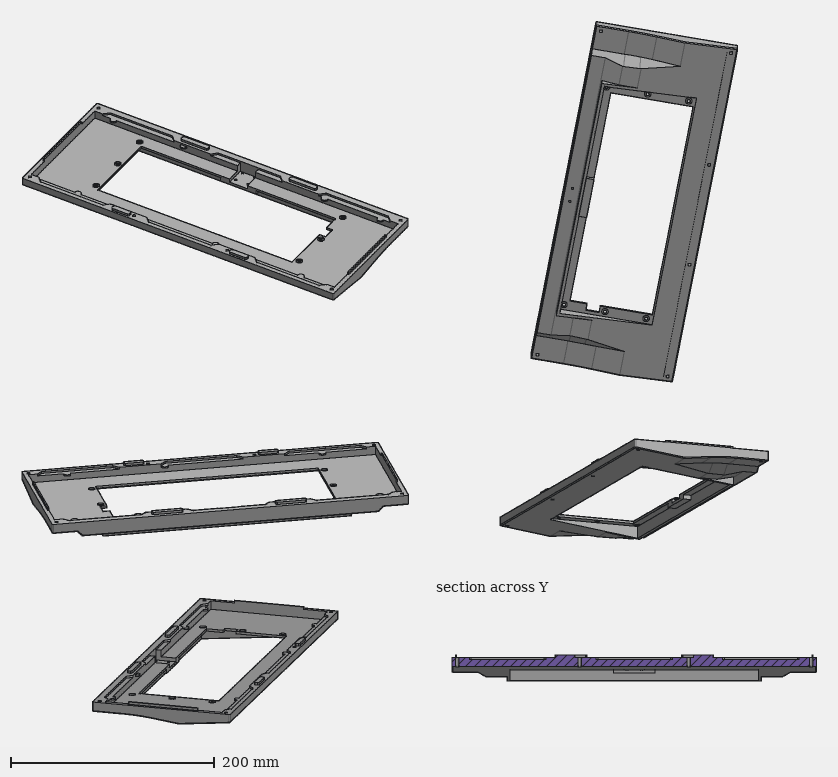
import cadquery as cq
import math


length = 358.16
width = 141.56
total_height = 25.69
half_length = length / 2
half_width = width / 2
corner_radius = 1.0
bottom_chamfer = 1.0
ridge_height = 2.4
foot_depth = total_height - ridge_height
typing_angle = math.radians(6.6)
foot_rear_y = 55.0
foot_half_length = 124.7
rear_shelf_y = 56.0
rear_shelf_depth = 15.0
belly_rear_y = 38.0
belly_depth = 19.2


def slope_depth(y):
    """Depth of the inclined underside below the rim at a given Y."""
    return foot_depth - (foot_rear_y - y) * math.tan(typing_angle)


front_depth = slope_depth(-half_width)
belly_front_y = foot_rear_y - (foot_depth - belly_depth) / math.tan(typing_angle)

edge_depth = 9.9
relief_front_y = -18.0
relief_level_y = 24.0
relief_bend_radius = 240.0
flank_bends = ((37.0, 2.5), (29.0, 5.0))
flank_bottom_x = 144.6
cut_margin = 5.0

tray_half_length = 174.3
tray_rear_y = 58.7
tray_front_y = -61.0
tray_depth = 8.7

window_half_length = 111.7
window_rear_y = 43.7
window_front_y = -38.4
notch_end_x = 118.5
notch_rear_y = 26.6
notch_front_y = 13.5
floor_thickness = 2.4
recess_half_length = 121.8
recess_rear_y = 52.0
recess_front_y = -40.0

rim_relief_depth = 2.0
rim_relief_width = 5.4
rim_relief_half_span = 41.2
rim_relief_centers = (-124.2, 0, 124.2)
wall_boss_diameter = 7.0
wall_boss_thickness = 1.5
rear_boss_xs = (-152.8, -72.0, 90.1, 154.0)
front_boss_xs = (-120.8, 37.5, 135.5)
ridge_width = 5.0
ridge_end_chamfer = 1.2
ridge_inner_x = 46.6
ridge_outer_x = 77.6
front_ridge_inner_x = 57.5
rear_ridge_y = 64.1
front_ridge_y = -66.3
side_ridge_width = 1.4
side_ridge_length = 71.0
side_ridge_center_y = -1.0

rim_hole_diameter = 3.0
rim_hole_x = 173.6
rim_hole_rear_y = 64.8
rim_hole_front_y = -65.0
inner_rim_hole_x = 53.6
plate_screw_x = 116.8
plate_screw_ys = (48.9, 7.9, -33.1)
plate_screw_diameter = 3.0
plate_screw_head_diameter = 6.5
plate_screw_head_depth = 1.5

board_half_length = 10.2
board_depth = 12.5
board_hole_diameter = 2.2
board_hole_depth = 1.5
board_hole_x = 7.0
board_hole_ys = (63.0, 50.2)
board_pad_half_length = 20.4
board_pad_depth = 15.4


def box(x0, x1, y0, y1, z0, z1):
    """Axis-aligned box between two corners."""
    return cq.Workplane("XY").box(x1 - x0, y1 - y0, z1 - z0, centered=False).translate((x0, y0, z0))


def side_prism(points, x0, x1):
    """Prism along X from an outline of (Y, Z) points."""
    return cq.Workplane("YZ").polyline(points).close().extrude(x1 - x0).translate((x0, 0, 0))


def cylinders(points, diameter, top, bottom):
    """Vertical cylinders at the given (X, Y) points."""
    return cq.Workplane("XY", origin=(0, 0, bottom)).pushPoints(points).circle(diameter / 2).extrude(top - bottom)


def mirrored(points):
    """Points together with their mirror images across X = 0."""
    return [(side * x, y) for x, y in points for side in (-1, 1)]


def make_body():
    outline = [
        (-half_width, 0),
        (-half_width, -front_depth),
        (belly_front_y, -belly_depth),
        (belly_rear_y, -belly_depth),
        (rear_shelf_y, -rear_shelf_depth),
        (half_width, -rear_shelf_depth),
        (half_width, 0),
    ]
    return side_prism(outline, -half_length, half_length)


def make_end_relief(side):
    """Relief below one end, bounded inwards by a bent 45 degree flank."""
    ceiling = [
        (relief_front_y, -slope_depth(relief_front_y)),
        (relief_level_y, -edge_depth),
        (half_width + cut_margin, -edge_depth),
        (half_width + cut_margin, -total_height),
        (relief_front_y, -total_height),
    ]
    relief = side_prism(ceiling, -half_length - cut_margin, -foot_half_length)
    bend_point = (-half_length, relief_level_y, -edge_depth)
    relief = relief.edges("|X").edges(cq.selectors.NearestToPointSelector(bend_point)).fillet(relief_bend_radius)

    outer_x = -half_length - cut_margin
    top_depth = edge_depth - cut_margin
    outline = [
        (-flank_bottom_x - belly_depth + top_depth, -top_depth),
        (-flank_bottom_x - belly_depth + total_height, -total_height),
        (outer_x - width, -total_height),
        (outer_x - width, -top_depth),
    ]
    rear_flank = cq.Workplane("XZ").polyline(outline).close().extrude(width, both=True)
    flank = rear_flank
    for bend_y, turn in flank_bends:
        pivot = (-flank_bottom_x, bend_y)
        flank = flank.intersect(rear_flank.rotate((*pivot, 0), (*pivot, 1), -turn))
    cutter = relief.intersect(flank)
    return cutter if side < 0 else cutter.mirror("YZ")


def soften_outer_edges(body):
    """Chamfer the lower outer edges, then round the vertical corners."""
    below_rim = cq.selectors.BoxSelector(
        (-length, -width, -total_height), (length, width, -bottom_chamfer)
    )
    lower_edges = body.faces("<X or >X or <Y or >Y").edges("not |Z").edges(below_rim)
    body = body.newObject(lower_edges.vals()).chamfer(bottom_chamfer)
    return body.faces("<Y or >Y").edges("|Z").fillet(corner_radius)


def make_foot():
    front_y = window_front_y
    outline = [
        (front_y, -slope_depth(front_y)),
        (foot_rear_y, -foot_depth),
        (foot_rear_y, -edge_depth),
        (front_y, -edge_depth),
    ]
    return side_prism(outline, -foot_half_length, foot_half_length)


def make_tray():
    """Tray cavity with the shallow trapezoidal reliefs along its long walls."""
    tray = box(-tray_half_length, tray_half_length, tray_front_y, tray_rear_y, -tray_depth, 0)
    short_half_span = rim_relief_half_span - rim_relief_width
    for edge_y, outward in ((tray_rear_y, 1), (tray_front_y, -1)):
        outer_y = edge_y + outward * rim_relief_width
        for center in rim_relief_centers:
            outline = [
                (center - rim_relief_half_span, edge_y),
                (center - short_half_span, outer_y),
                (center + short_half_span, outer_y),
                (center + rim_relief_half_span, edge_y),
            ]
            tray = tray.union(cq.Workplane("XY").polyline(outline).close().extrude(-rim_relief_depth))
    return tray


def make_wall_bosses():
    """Thin round tabs that stick out of the long tray walls."""
    points = [(x, tray_rear_y) for x in rear_boss_xs] + [(x, tray_front_y) for x in front_boss_xs]
    return cylinders(points, wall_boss_diameter, -rim_relief_depth, -rim_relief_depth - wall_boss_thickness)


def make_ridges():
    """Locating ridges on top of the rim."""
    ridges = cq.Workplane("XY")
    for inner_x, y in ((ridge_inner_x, rear_ridge_y), (front_ridge_inner_x, front_ridge_y)):
        for side in (-1, 1):
            ridges = ridges.union(
                cq.Workplane("XY")
                .center(side * (inner_x + ridge_outer_x) / 2, y)
                .rect(ridge_outer_x - inner_x, ridge_width)
                .extrude(ridge_height)
                .edges("|Z")
                .chamfer(ridge_end_chamfer)
            )
    for side in (-1, 1):
        ridges = ridges.union(
            cq.Workplane("XY")
            .center(side * (tray_half_length + side_ridge_width / 2), side_ridge_center_y)
            .rect(side_ridge_width, side_ridge_length)
            .extrude(ridge_height)
        )
    return ridges


def make_window():
    window = box(-window_half_length, window_half_length, window_front_y, window_rear_y, -total_height, 0)
    notch = box(0, notch_end_x, notch_front_y, notch_rear_y, -total_height, 0)
    return window.union(notch)


def make_plate_recess():
    """Recess under the floor, leaving a thicker pad below the connector board."""
    ceiling = -tray_depth - floor_thickness
    recess = box(
        -recess_half_length, recess_half_length, recess_front_y, recess_rear_y, -total_height, ceiling
    )
    pad = box(
        -board_pad_half_length, board_pad_half_length, window_rear_y, recess_rear_y, -board_pad_depth, ceiling
    )
    return recess.cut(pad)


def make_board_pocket():
    pocket_rear_y = tray_rear_y + rim_relief_width
    pocket = box(-board_half_length, board_half_length, window_rear_y, pocket_rear_y, -board_depth, 0)
    points = mirrored([(board_hole_x, y) for y in board_hole_ys])
    holes = cylinders(points, board_hole_diameter, -board_depth, -board_depth - board_hole_depth)
    return pocket.union(holes)


def make_rim_holes():
    points = mirrored([
        (rim_hole_x, rim_hole_rear_y),
        (rim_hole_x, rim_hole_front_y),
        (inner_rim_hole_x, rim_hole_front_y),
    ])
    return cylinders(points, rim_hole_diameter, 0, -total_height)


def make_plate_screw_holes():
    points = mirrored([(plate_screw_x, y) for y in plate_screw_ys])
    shafts = cylinders(points, plate_screw_diameter, -tray_depth, -total_height)
    heads = cylinders(points, plate_screw_head_diameter, -tray_depth, -tray_depth - plate_screw_head_depth)
    return shafts.union(heads)


result = make_body()
for end in (-1, 1):
    result = result.cut(make_end_relief(end))
result = soften_outer_edges(result)
result = result.union(make_foot())
result = result.cut(make_tray())
result = result.union(make_wall_bosses())
result = result.union(make_ridges())
result = result.cut(make_plate_recess())
result = result.cut(make_window())
result = result.cut(make_board_pocket())
result = result.cut(make_rim_holes())
result = result.cut(make_plate_screw_holes())